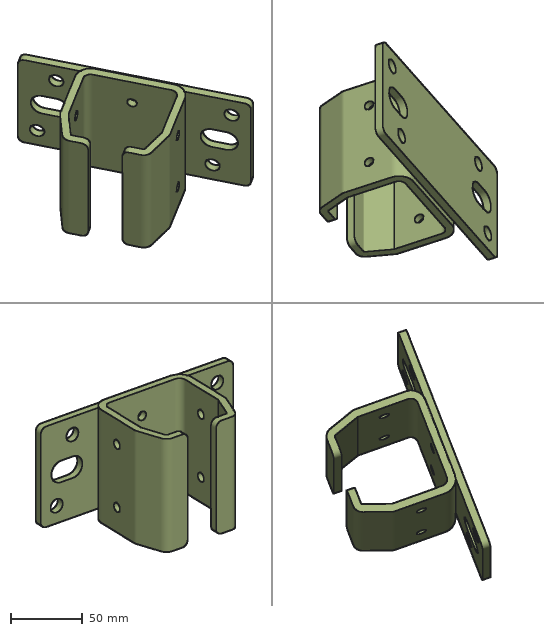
import cadquery as cq
import math


wall = 6.0

plate_length = 170.0
plate_height = 80.0
plate_corner_radius = 5.0
bolt_hole_diameter = 10.5
bolt_hole_rise = 26.0
inner_bolt_hole_offset = 57.0
outer_bolt_hole_offset = 70.9
slot_length = 27.2
slot_width = 17.0
slot_offset = 61.9

channel_width = 80.0
channel_depth = 75.0
channel_height = 90.0
back_bend_radius = 5.3
lip_bend_radius = 1.0
taper_start = 26.0
taper_angle = 20.0
mouth_width = 25.0
lip_corner_radius = 5.0
screw_hole_diameter = 7.0
screw_hole_spacing = 50.0
side_hole_depth = 29.0

screw_hole_heights = [-screw_hole_spacing / 2, screw_hole_spacing / 2]


def make_plate():
    """Rounded plate whose hole pattern repeats when turned half a turn."""
    plate = (
        cq.Workplane("XZ")
        .rect(plate_length, plate_height)
        .extrude(-wall)
        .edges("|Y")
        .fillet(plate_corner_radius)
    )
    bolt_holes = (
        cq.Workplane("XZ")
        .pushPoints([
            (-inner_bolt_hole_offset, bolt_hole_rise),
            (-outer_bolt_hole_offset, -bolt_hole_rise),
            (inner_bolt_hole_offset, -bolt_hole_rise),
            (outer_bolt_hole_offset, bolt_hole_rise),
        ])
        .circle(bolt_hole_diameter / 2)
        .extrude(-wall)
    )
    slots = (
        cq.Workplane("XZ")
        .pushPoints([(-slot_offset, 0), (slot_offset, 0)])
        .slot2D(slot_length, slot_width)
        .extrude(-wall)
    )
    return plate.cut(bolt_holes).cut(slots)


def make_channel_cavity():
    """Inside space of the channel, closed across the mouth."""
    half_width = channel_width / 2 - wall
    back_y = -wall
    front_y = wall - channel_depth
    taper_y = taper_start - channel_depth
    front_half_width = half_width - (taper_y - front_y) * math.tan(math.radians(taper_angle))
    return (
        cq.Workplane("XY")
        .workplane(offset=-channel_height / 2)
        .polyline([
            (-half_width, back_y),
            (half_width, back_y),
            (half_width, taper_y),
            (front_half_width, front_y),
            (-front_half_width, front_y),
            (-half_width, taper_y),
        ])
        .close()
        .extrude(channel_height)
        .edges("|Z and >Y")
        .fillet(back_bend_radius)
        .edges("|Z and <Y")
        .fillet(lip_bend_radius)
    )


def cut_mouth(channel):
    """Open the front wall, leaving two lips with rounded free corners."""
    mouth_middle_y = wall / 2 - channel_depth
    mouth = (
        cq.Workplane("XY")
        .box(mouth_width, wall, channel_height)
        .translate((0, mouth_middle_y, 0))
    )
    opened = channel.cut(mouth)
    corner_points = [
        (side * mouth_width / 2, mouth_middle_y, end * channel_height / 2)
        for side in (-1, 1)
        for end in (-1, 1)
    ]
    for corner in corner_points:
        corner_edge = cq.selectors.NearestToPointSelector(corner)
        opened = opened.edges("|Y").edges(corner_edge).fillet(lip_corner_radius)
    return opened


def cut_screw_holes(channel):
    """Two holes through the back wall and two through each side wall."""
    back_holes = (
        cq.Workplane("XZ")
        .pushPoints([(0, height) for height in screw_hole_heights])
        .circle(screw_hole_diameter / 2)
        .extrude(wall)
    )
    side_holes = (
        cq.Workplane("YZ")
        .pushPoints([(-side_hole_depth, height) for height in screw_hole_heights])
        .circle(screw_hole_diameter / 2)
        .extrude(channel_width / 2, both=True)
    )
    return channel.cut(back_holes).cut(side_holes)


def make_channel():
    """Bent sheet: the cavity outline grown by the wall, minus the cavity."""
    cavity = make_channel_cavity()
    envelope = (
        cavity.faces("<Z")
        .wires()
        .toPending()
        .workplane()
        .offset2D(wall, "arc")
        .extrude(-channel_height, combine=False)
    )
    return cut_screw_holes(cut_mouth(envelope.cut(cavity)))


plate = make_plate()
channel = make_channel()

result = cq.Compound.makeCompound([plate.val(), channel.val()])